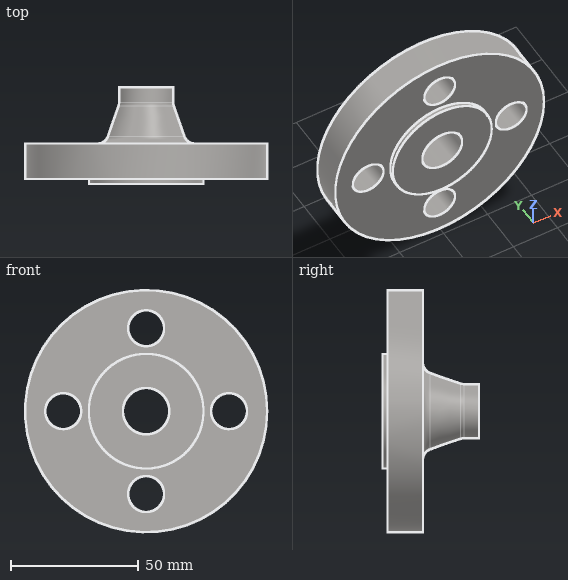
import cadquery as cq
import math

flange_diameter = 95.0
flange_thickness = 14.0
raised_face_diameter = 45.0
raised_face_height = 2.0
overall_length = 38.0
bore_diameter = 18.1

hub_base_diameter = 32.0
weld_end_diameter = 21.3
weld_end_length = 6.0
hub_fillet_radius = 4.0

bolt_circle_diameter = 65.0
bolt_hole_diameter = 14.0
bolt_hole_count = 4

flange_back_y = raised_face_height + flange_thickness
weld_end_start_y = overall_length - weld_end_length


def bore():
    """Central through passage."""
    return cq.Workplane("XZ").circle(bore_diameter / 2).extrude(-overall_length)


def flange_body():
    """Plate, raised face, hub and weld end, with a fillet arc at both ends of the cone."""
    upper_center_r = weld_end_diameter / 2 + hub_fillet_radius
    center_offset_r = hub_base_diameter / 2 - upper_center_r
    center_offset_y = weld_end_start_y - flange_back_y
    center_distance = math.hypot(center_offset_r, center_offset_y)
    cone_angle = math.atan2(center_offset_r, center_offset_y) + math.asin(hub_fillet_radius / center_distance)

    lower_tangent_length = hub_fillet_radius * math.tan(math.pi / 4 - cone_angle / 2)
    lower_center_r = hub_base_diameter / 2 + lower_tangent_length
    lower_center_y = flange_back_y + hub_fillet_radius

    def fillet_point(center_r, center_y, angle):
        """Point on a fillet, with the angle measured from the inward radius toward the flange."""
        return (
            center_r - hub_fillet_radius * math.cos(angle),
            center_y - hub_fillet_radius * math.sin(angle),
        )

    lower_middle = fillet_point(lower_center_r, lower_center_y, (cone_angle + math.pi / 2) / 2)
    cone_bottom = fillet_point(lower_center_r, lower_center_y, cone_angle)
    cone_top = fillet_point(upper_center_r, weld_end_start_y, cone_angle)
    upper_middle = fillet_point(upper_center_r, weld_end_start_y, cone_angle / 2)

    half_profile = (
        cq.Workplane("XY")
        .moveTo(0, 0)
        .lineTo(raised_face_diameter / 2, 0)
        .lineTo(raised_face_diameter / 2, raised_face_height)
        .lineTo(flange_diameter / 2, raised_face_height)
        .lineTo(flange_diameter / 2, flange_back_y)
        .lineTo(lower_center_r, flange_back_y)
        .threePointArc(lower_middle, cone_bottom)
        .lineTo(*cone_top)
        .threePointArc(upper_middle, (weld_end_diameter / 2, weld_end_start_y))
        .lineTo(weld_end_diameter / 2, overall_length)
        .lineTo(0, overall_length)
        .close()
    )
    return half_profile.revolve(360, (0, 0, 0), (0, 1, 0))


def bolt_holes():
    """Through holes spaced evenly on the bolt circle."""
    holes = cq.Workplane("XZ").polarArray(bolt_circle_diameter / 2, 0, 360, bolt_hole_count)
    return holes.circle(bolt_hole_diameter / 2).extrude(-overall_length)


result = flange_body().cut(bore()).cut(bolt_holes())